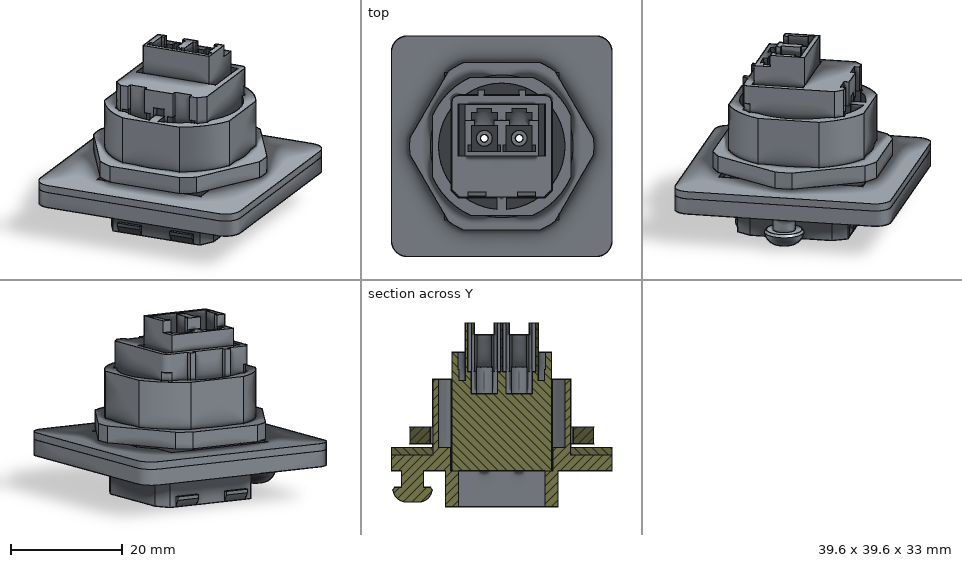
import cadquery as cq


root_overlap = 0.4

flange_size = 39.6
flange_corner_radius = 2.95
flange_top = 2.9
gasket_top = 4.25
gasket_opening = (20.5, 26.37)

barrel_across_flats = 24.75
barrel_base_radius = 13.3
thread_radius = 13.6
thread_bottom = 4.87
barrel_top = 16.47
bore_radius = 11.33
key_width = 1.8
key_inner_y = -8.5

box_bottom = -6.4
box_half = 10.1
box_face_half_x = 8.6
box_side_half_y = 7.5
box_opening = 15.45
nose_width = 4.45
nose_spacing = 10.35
nose_reach = 0.67
nose_top = -4.47
nose_edge = -5.1

stud_x = -16.0
stud_shank_radius = 2.0
stud_head_radius = 3.55
stud_head_top = -2.9
stud_head_bottom = -5.62
stud_rim_height = 0.48
stud_top_bevel = 0.35
stud_dome_end_radius = 1.0
stud_dome_mid_radius = 2.9
stud_dome_mid_z = -4.85

nut_across_flats = 30.0
nut_corner_radius = 16.5
nut_bore_radius = 12.8
nut_top = 7.92

insert_size = (17.9, 18.2)
insert_corner = 1.35
insert_head_corner_radius = 1.2
insert_clearance = 0.15
insert_head_bottom = 17.95
insert_top = 21.3
back_rib_width = 1.15
back_rib_spacing = 7.4
back_rib_height = 0.95
latch_pocket_width = 3.25
latch_pocket_spacing = 8.87
latch_pocket_depth = 0.9
latch_slot_width = 5.4
latch_slot_depth = 2.38
latch_slot_top = 16.8
latch_slot_bottom = 9.9
latch_ramp_top = 13.05
latch_ramp_rise = 1.2
key_hole_width = 2.15
key_hole_depth = 1.6
key_hole_top = 18.05

window_width = 15.7
window_floor_width = 15.3
window_step_z = 18.2
window_floor_z = 16.25
window_back_y = 7.6

coupler_width = 13.1
coupler_front_y = -1.75
coupler_back_y = 7.52
coupler_step_y = 4.6
coupler_step_z = 24.45
coupler_top = 26.57

port_spacing = 6.25
port_size = 4.67
port_y = 1.43
port_floor = 13.85
guide_floor = 17.82
rail_width = 5.85
rail_height = 1.1
neck_width = 3.55
latch_front_y = 4.7
latch_back_y = 6.0
tab_width = 2.55
tab_back_y = 6.8
sleeve_radius = 1.43
sleeve_height = 4.75
fibre_hole_radius = 0.67

barrel_flat = barrel_across_flats / 2
insert_front_y = -insert_size[1] / 2
insert_back_y = insert_size[1] / 2


def block(width, y_front, y_back, z_bottom, z_top, x=0.0):
    """Box centred on x, between the given Y and Z limits."""
    return (
        cq.Workplane("XY", origin=(x, (y_front + y_back) / 2, z_bottom))
        .rect(width, y_back - y_front)
        .extrude(z_top - z_bottom)
    )


def cylinder(radius, z_bottom, z_top, x=0.0, y=0.0):
    return cq.Workplane("XY", origin=(x, y, z_bottom)).circle(radius).extrude(z_top - z_bottom)


def mirrored_pair(spacing):
    return (-spacing / 2, spacing / 2)


def rounded_plate(z_bottom, z_top):
    half = flange_size / 2
    return block(flange_size, -half, half, z_bottom, z_top).edges("|Z").fillet(flange_corner_radius)


def flatted_cylinder(radius, z_bottom, z_top):
    flats = block(barrel_across_flats, -barrel_flat, barrel_flat, z_bottom, z_top)
    return cylinder(radius, z_bottom, z_top).intersect(flats)


def chamfered_block(size, corner, z_bottom, z_top):
    return block(size[0], -size[1] / 2, size[1] / 2, z_bottom, z_top).edges("|Z").chamfer(corner)


def rear_box():
    """Box under the flange with its four upright edges cut off at an angle."""
    outline = []
    for sx, sy in ((1, 1), (-1, 1), (-1, -1), (1, -1)):
        corner = [(sx * box_half, sy * box_side_half_y), (sx * box_face_half_x, sy * box_half)]
        outline += corner if sx == sy else corner[::-1]
    return cq.Workplane("XY", origin=(0, 0, box_bottom)).polyline(outline).close().extrude(-box_bottom)


def latch_noses():
    """Two wedge noses on the -Y face of the rear box and two on the +Y face."""
    noses = []
    for x in mirrored_pair(nose_spacing):
        for side in (-1, 1):
            profile = [
                (side * (box_half - root_overlap), nose_top),
                (side * (box_half + nose_reach), nose_top),
                (side * (box_half + nose_reach), nose_edge),
                (side * box_half, box_bottom),
                (side * (box_half - root_overlap), box_bottom),
            ]
            nose = (
                cq.Workplane("YZ", origin=(x - nose_width / 2, 0, 0))
                .polyline(profile)
                .close()
                .extrude(nose_width)
            )
            noses.append(nose)
    return noses


def tether_stud():
    """Round stud with a domed head, turned about a vertical axis."""
    return (
        cq.Workplane("XZ", origin=(stud_x, 0, 0))
        .moveTo(0, 0)
        .lineTo(stud_shank_radius, 0)
        .lineTo(stud_shank_radius, stud_head_top)
        .lineTo(stud_head_radius - stud_top_bevel, stud_head_top)
        .lineTo(stud_head_radius, stud_head_top - stud_rim_height)
        .threePointArc(
            (stud_dome_mid_radius, stud_dome_mid_z),
            (stud_dome_end_radius, stud_head_bottom),
        )
        .lineTo(0, stud_head_bottom)
        .close()
        .revolve(360, (0, 0, 0), (0, 1, 0))
    )


def make_housing():
    seat_size = tuple(side + 2 * insert_clearance for side in insert_size)
    body = rounded_plate(0, flange_top)
    body = body.union(flatted_cylinder(barrel_base_radius, 0, thread_bottom))
    body = body.union(flatted_cylinder(thread_radius, thread_bottom, barrel_top))
    body = body.union(rear_box())
    for nose in latch_noses():
        body = body.union(nose)
    body = body.union(tether_stud())
    body = body.cut(cylinder(bore_radius, gasket_top, barrel_top))
    body = body.cut(chamfered_block(seat_size, insert_corner, 0, barrel_top))
    body = body.cut(block(box_opening, -box_opening / 2, box_opening / 2, box_bottom, 0))
    key = block(key_width, -(bore_radius + root_overlap), key_inner_y, gasket_top, barrel_top)
    return body.union(key)


def make_gasket():
    opening_x, opening_y = gasket_opening
    gasket = rounded_plate(flange_top, gasket_top)
    gasket = gasket.cut(flatted_cylinder(barrel_base_radius, flange_top, gasket_top))
    return gasket.cut(block(opening_x, -opening_y / 2, opening_y / 2, flange_top, gasket_top))


def make_nut():
    hexagon = (
        cq.Workplane("XY", origin=(0, 0, thread_bottom))
        .polygon(6, nut_across_flats, circumscribed=True)
        .extrude(nut_top - thread_bottom)
        .rotate((0, 0, 0), (0, 0, 1), 30)
    )
    nut = hexagon.intersect(cylinder(nut_corner_radius, thread_bottom, nut_top))
    nut = nut.cut(cylinder(nut_bore_radius, thread_bottom, nut_top))
    return nut.cut(flatted_cylinder(thread_radius, thread_bottom, nut_top))


def insert_body():
    """Chamfered shank with a head whose two +Y corners are rounded instead."""
    shank = chamfered_block(insert_size, insert_corner, 0, insert_head_bottom)
    head = block(insert_size[0], insert_front_y, insert_back_y, insert_head_bottom, insert_top)
    head = head.edges("|Z and <Y").chamfer(insert_corner)
    head = head.edges("|Z and >Y").fillet(insert_head_corner_radius)
    body = shank.union(head)
    for x in mirrored_pair(back_rib_spacing):
        rib_back_y = insert_back_y + back_rib_height
        body = body.union(block(back_rib_width, insert_back_y, rib_back_y, gasket_top, insert_top, x))
    return body


def latch_pocket(x):
    """Open pocket in the -Y face, with a sloped latch ramp in it and deeper slots beside its lower part."""
    pocket_back_y = insert_front_y + latch_pocket_depth
    pocket = block(latch_pocket_width, insert_front_y, pocket_back_y, latch_slot_bottom, insert_top, x)
    slot_back_y = insert_front_y + latch_slot_depth
    slots = block(latch_slot_width, insert_front_y, slot_back_y, latch_slot_bottom, latch_slot_top, x)
    tongue = block(latch_pocket_width, insert_front_y, slot_back_y, latch_slot_bottom, latch_slot_top, x)
    slots = slots.cut(tongue)
    ramp_profile = [
        (pocket_back_y, latch_ramp_top - latch_ramp_rise),
        (insert_front_y + insert_clearance, latch_ramp_top),
        (insert_front_y + insert_clearance, latch_slot_bottom),
        (pocket_back_y, latch_slot_bottom),
    ]
    ramp = (
        cq.Workplane("YZ", origin=(x - latch_pocket_width / 2, 0, 0))
        .polyline(ramp_profile)
        .close()
        .extrude(latch_pocket_width)
    )
    return pocket.cut(ramp).union(slots)


def coupler_window():
    upper = block(window_width, coupler_front_y, window_back_y, window_step_z, insert_top)
    lower = block(window_floor_width, coupler_front_y, window_back_y, window_floor_z, window_step_z)
    return upper.union(lower)


def coupler_body():
    body = block(coupler_width, coupler_front_y, coupler_back_y, window_floor_z, coupler_top)
    return body.cut(block(coupler_width, coupler_step_y, coupler_back_y, coupler_step_z, coupler_top))


def port_cavity(x):
    """Plug socket with side rails, latch slot and a sleeve standing on its floor."""
    port_front_y = port_y - port_size / 2
    port_back_y = port_y + port_size / 2
    cavity = block(port_size, port_front_y, port_back_y, port_floor, coupler_top, x)
    rail_back_y = port_front_y + rail_height
    cavity = cavity.union(block(rail_width, port_front_y, rail_back_y, guide_floor, coupler_top, x))
    cavity = cavity.union(block(neck_width, port_back_y, latch_front_y, guide_floor, coupler_top, x))
    cavity = cavity.union(block(port_size, latch_front_y, latch_back_y, guide_floor, coupler_top, x))
    cavity = cavity.union(block(tab_width, latch_back_y, tab_back_y, guide_floor, coupler_top, x))
    return cavity.cut(cylinder(sleeve_radius, port_floor, port_floor + sleeve_height, x, port_y))


def make_insert():
    key_hole_back_y = insert_front_y + key_hole_depth
    insert = insert_body()
    insert = insert.cut(block(key_hole_width, insert_front_y, key_hole_back_y, 0, key_hole_top))
    for x in mirrored_pair(latch_pocket_spacing):
        insert = insert.cut(latch_pocket(x))
    insert = insert.cut(coupler_window()).union(coupler_body())
    for x in mirrored_pair(port_spacing):
        insert = insert.cut(port_cavity(x))
        insert = insert.cut(cylinder(fibre_hole_radius, 0, coupler_top, x, port_y))
    return insert


housing = make_housing()
gasket = make_gasket()
nut = make_nut()
insert = make_insert()

bodies = (housing, gasket, nut, insert)
result = cq.Compound.makeCompound([body.solids().val() for body in bodies])